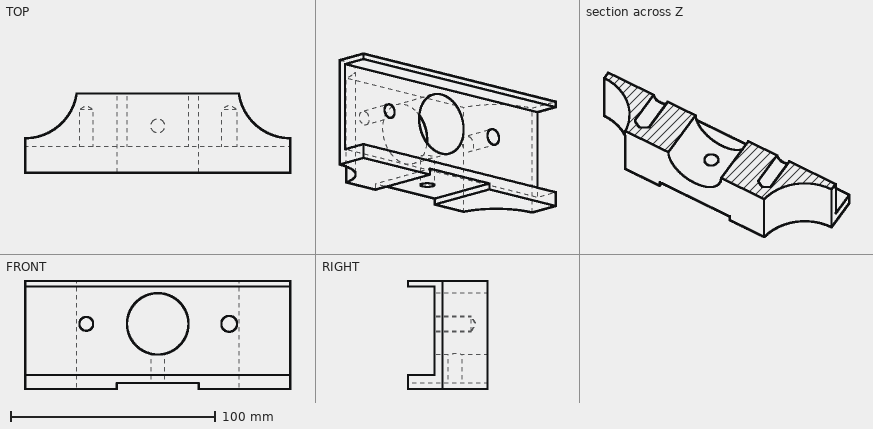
import cadquery as cq
import math

length = 130.0
depth = 39.0
height = 53.0

channel_depth = 13.0
top_lip = 2.8
bottom_lip = 7.0

end_depth = 17.0
scallop_radius = 25.5

bore_diameter = 30.0
bore_height = 32.0
side_hole_offset = 35.0
left_hole_diameter = 6.8
right_hole_diameter = 7.8
side_hole_depth = 18.0
drill_point_angle = 118.0

slot_width = 40.0
slot_height = 3.0

cross_hole_diameter = 6.8
cross_hole_y = 23.0


def block():
    """Full-size block, centred on X, with its front face at Y = 0."""
    return cq.Workplane("XY").box(length, depth, height, centered=(True, False, False))


def channel():
    """Rectangular channel cut along the whole front face."""
    channel_height = height - top_lip - bottom_lip
    return (
        cq.Workplane("XY")
        .box(length, channel_depth, channel_height, centered=(True, False, False))
        .translate((0, 0, bottom_lip))
    )


def scallop(side):
    """Cylinder that hollows one rear corner; side is -1 or +1."""
    return (
        cq.Workplane("XY")
        .center(side * length / 2, end_depth + scallop_radius)
        .circle(scallop_radius)
        .extrude(height)
    )


def main_bore():
    """Bore through the body along Y."""
    return (
        cq.Workplane("XZ")
        .center(0, bore_height)
        .circle(bore_diameter / 2)
        .extrude(-depth)
    )


def drilled_hole(x, diameter):
    """Blind hole into the channel floor, ending in a conical drill point."""
    radius = diameter / 2
    point_length = radius / math.tan(math.radians(drill_point_angle / 2))
    bottom = channel_depth + side_hole_depth
    return (
        cq.Workplane("XY")
        .moveTo(0, channel_depth)
        .lineTo(radius, channel_depth)
        .lineTo(radius, bottom)
        .lineTo(0, bottom + point_length)
        .close()
        .revolve(360, (0, 0, 0), (0, 1, 0))
        .translate((x, 0, bore_height))
    )


def underside_slot():
    """Shallow slot through the underside along Y."""
    return cq.Workplane("XY").box(slot_width, depth, slot_height, centered=(True, False, False))


def cross_hole():
    """Vertical hole from the underside up to the bore axis."""
    return (
        cq.Workplane("XY")
        .center(0, cross_hole_y)
        .circle(cross_hole_diameter / 2)
        .extrude(bore_height)
    )


result = block().cut(channel())
for side in (-1, 1):
    result = result.cut(scallop(side))
result = (
    result.cut(main_bore())
    .cut(drilled_hole(-side_hole_offset, left_hole_diameter))
    .cut(drilled_hole(side_hole_offset, right_hole_diameter))
    .cut(underside_slot())
    .cut(cross_hole())
)